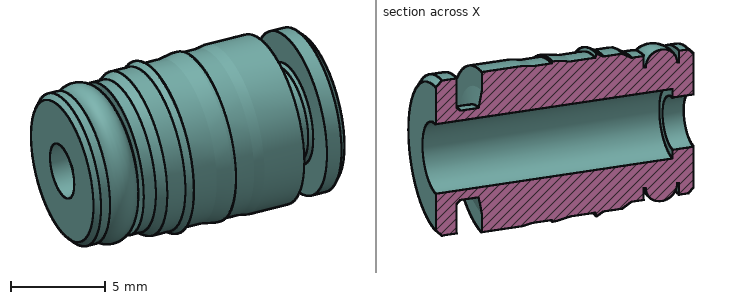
import cadquery as cq


length = 14.6
socket_start = 1.2
nose_end = 0.83
groove_end = 2.81
lead_in_start = 3.52
lead_in_end = 4.04
front_barb_start = 5.1
front_barb_peak = 5.5
front_barb_end = 5.58
rear_barb_start = 6.95
rear_barb_crest = 7.8
rear_barb_shoulder = 8.0
rear_barb_end = 8.04
collar_taper_start = 9.12
collar_start = 9.68
collar_end = 12.0
neck_start = 12.18
flange_start = 13.4

bore_radius = 1.5
socket_radius = 2.0
nose_radius = 4.18
body_radius = 4.5
waist_radius = 4.55
collar_radius = 4.65
front_barb_radius = 4.725
neck_radius = 2.6
collar_cone_radius = 3.55

nose_chamfer = 0.3
neck_chamfer = 0.2
flange_chamfer = 0.35

groove_floor_radius = 3.5
ring_section_radius = 0.9
ring_center = (nose_end + groove_end) / 2


def revolve_about_y(profile):
    """Spin a closed profile, drawn as (radius, y), fully around the Y axis."""
    return profile.revolve(360, (0, 0, 0), (0, 1, 0))


def make_body():
    """Cartridge with barbs, collar and release flange; a wider tube socket runs in from the flange."""
    nose = [
        (bore_radius, 0),
        (nose_radius - nose_chamfer, 0),
        (nose_radius, nose_chamfer),
        (nose_radius, nose_end),
    ]
    seal_groove = [
        (groove_floor_radius, nose_end),
        (groove_floor_radius, groove_end),
    ]
    lead_in = [
        (nose_radius, groove_end),
        (nose_radius, lead_in_start),
        (body_radius, lead_in_end),
    ]
    front_barb = [
        (body_radius, front_barb_start),
        (front_barb_radius, front_barb_peak),
        (body_radius, front_barb_end),
    ]
    rear_barb = [
        (body_radius, rear_barb_start),
        (collar_radius, rear_barb_crest),
        (collar_radius, rear_barb_shoulder),
        (waist_radius, rear_barb_end),
    ]
    collar = [
        (waist_radius, collar_taper_start),
        (collar_radius, collar_start),
        (collar_radius, collar_end),
        (collar_cone_radius, collar_end),
    ]
    neck = [
        (neck_radius, neck_start),
        (neck_radius, flange_start - neck_chamfer),
        (neck_radius + neck_chamfer, flange_start),
    ]
    flange = [
        (body_radius, flange_start),
        (body_radius, length - flange_chamfer),
        (body_radius - flange_chamfer, length),
    ]
    tube_socket = [
        (socket_radius, length),
        (socket_radius, socket_start),
        (bore_radius, socket_start),
    ]
    outer_outline = nose + seal_groove + lead_in + front_barb + rear_barb + collar + neck + flange
    outline = outer_outline + tube_socket
    return revolve_about_y(cq.Workplane("XY").polyline(outline).close())


def make_o_ring():
    """Half-round outer part of the O-ring, from just inside the groove floor outward."""
    overlap = ring_section_radius / 2
    inner_radius = groove_floor_radius - overlap
    ring_front = ring_center - ring_section_radius
    ring_back = ring_center + ring_section_radius
    profile = (
        cq.Workplane("XY")
        .moveTo(inner_radius, ring_front)
        .lineTo(groove_floor_radius, ring_front)
        .threePointArc(
            (groove_floor_radius + ring_section_radius, ring_center),
            (groove_floor_radius, ring_back),
        )
        .lineTo(inner_radius, ring_back)
        .close()
    )
    return revolve_about_y(profile)


result = make_body().union(make_o_ring())